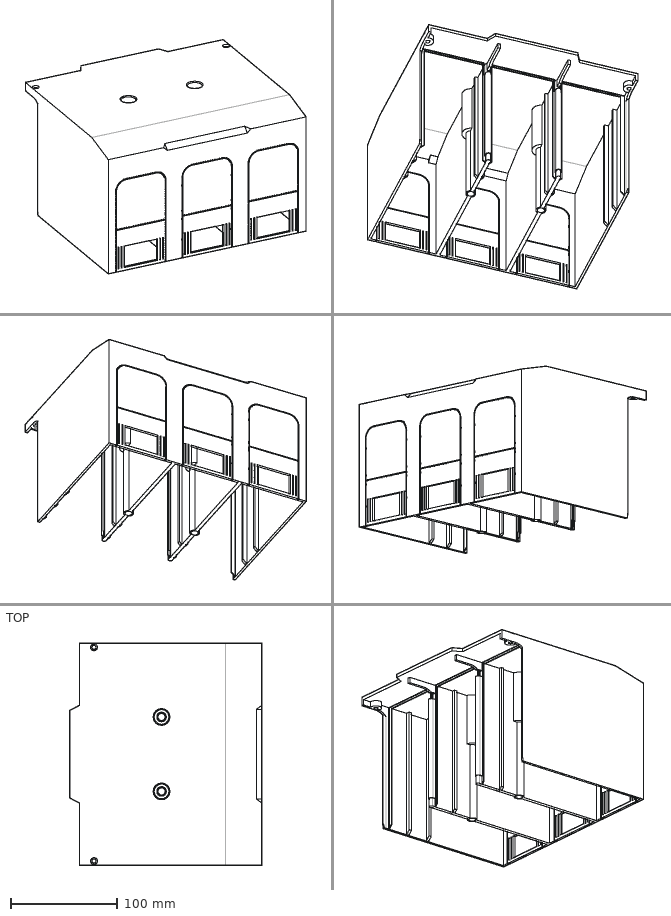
import cadquery as cq

LENGTH = 181.5
WIDTH = 209.5
HEIGHT = 127.9
HALF_WIDTH = WIDTH / 2

ROOF_THICKNESS = 3.4
ROOF_FRONT = 9.2
SLOPE_START = 147.1
SLOPE_DROP = 8.8
TONGUE_ROOT_HALF = 46.1
TONGUE_TIP_HALF = 41.3

WALL_FRONT = 34.4
WALL_THICKNESS = 2.5
WALL_ROUND = 2.0
LIP_DROP = 8.8
LIP_ARC_START = 26.2
LIP_ARC_END_DROP = 11.5
TOE_LENGTH = 0.8
TOE_HEIGHT = 4.8

BACK_THICKNESS = 2.5
BACK_INNER = LENGTH - BACK_THICKNESS
NOTCH_DEPTH = 5.2
NOTCH_FLOOR = 115.5
NOTCH_FLOOR_HALF = 42.3
NOTCH_MOUTH_HALF = 46.1
LEDGE_TOP_DROP = 10.3
LEDGE_BOTTOM_DROP = 15.5
LEDGE_HALF = 44.5

BAY_PITCH = 70.2
BAY_CENTRES = (-BAY_PITCH, 0.0, BAY_PITCH)
DIVIDER_CENTRES = (-BAY_PITCH / 2, BAY_PITCH / 2)
DIVIDER_THICKNESS = 3.8
NOSE_RADIUS = 2.7
NOSE_TIP_RADIUS = 2.0
NOSE_TIP_HEIGHT = 8.2
DIVIDER_FRONT = WALL_FRONT + NOSE_RADIUS
NOSE_TOP = 109.8
WEB_OFFSET = 0.8

FRAME_FRONT = 39.8
FRAME_THICKNESS = 0.8
FRAME_TOP_DROP = 5.7
STRIP_HALF_ON_DIVIDER = 4.6
STRIP_REACH_FROM_WALL = 6.5
FRAME_NOTCH_WIDTH = 6.5

RIB_THICKNESS = 2.7
RIB_X = 62.9

POST_X = 86.8
POST_RADIUS = 4.6
SLEEVE_RADIUS = 8.4
SLEEVE_BOTTOM = 75.0
COUNTERBORE_FLOOR = 77.5
COUNTERBORE_DIAMETER = 13.8
COUNTERBORE_RIM = 15.7
SCREW_HOLE_DIAMETER = 6.7
SCREW_HOLE_RIM = 9.0

CORNER_HOLE_X = 23.0
CORNER_HOLE_Y = 100.8
CORNER_HOLE_DIAMETER = 3.8
CORNER_HOLE_RIM = 6.5
CORNER_BOSS_RADIUS = 5.5

SLOT_WIDTH = 0.8
PANEL_WIDTH = 52.5
PANEL_TOP = 94.7
PANEL_CORNER_RADIUS = 10.5
PANEL_SPLIT = 43.8
BRIDGE_HEIGHT = 0.8
BRIDGE_LEVELS = (18.9, 40.2, 48.8, 75.0)
WINDOW_WIDTH = 35.0
WINDOW_BOTTOM = 3.1
WINDOW_TOP = 25.4
LOUVRE_OFFSETS = (20.3, 23.7)


def block(x0, x1, y0, y1, z0, z1):
    """Axis-aligned box between two opposite corners."""
    return cq.Workplane("XY").box(x1 - x0, y1 - y0, z1 - z0, centered=False).translate((x0, y0, z0))


def post(x, y, radius, z0, z1):
    """Upright cylinder."""
    return cq.Workplane("XY").center(x, y).circle(radius).extrude(z1 - z0).translate((0, 0, z0))


def funnel(x, y, rim, bore, top):
    """45 degree countersink opening upward from the bore to the rim diameter."""
    depth = (rim - bore) / 2
    cone = cq.Solid.makeCone(bore / 2, rim / 2, depth)
    return cq.Workplane(cone).translate((x, y, top - depth))


def along_y(outline, y0, y1):
    """Extrude an outline in the XZ plane from y0 to y1."""
    return outline.extrude(-(y1 - y0)).translate((0, y0, 0))


def envelope(front):
    """Full height solid below the outer roof surface, starting at the given x."""
    outline = (
        cq.Workplane("XZ")
        .moveTo(front, 0)
        .lineTo(LENGTH, 0)
        .lineTo(LENGTH, HEIGHT - SLOPE_DROP)
        .lineTo(SLOPE_START, HEIGHT)
        .lineTo(front, HEIGHT)
        .close()
    )
    return along_y(outline, -HALF_WIDTH, HALF_WIDTH)


def roof():
    """Bent roof sheet with the tapered tongue at its front edge."""
    outer = envelope(ROOF_FRONT)
    sheet = outer.cut(outer.translate((0, 0, -ROOF_THICKNESS)))
    tongue = (
        cq.Workplane("XY")
        .polyline([
            (ROOF_FRONT, -TONGUE_ROOT_HALF),
            (0, -TONGUE_TIP_HALF),
            (0, TONGUE_TIP_HALF),
            (ROOF_FRONT, TONGUE_ROOT_HALF),
        ])
        .close()
        .extrude(ROOF_THICKNESS)
        .translate((0, 0, HEIGHT - ROOF_THICKNESS))
    )
    return sheet.union(tongue)


def side_wall(side):
    """Wall at the +Y (side = 1) or -Y (side = -1) end, rounded along its inner front edge."""
    outline = (
        cq.Workplane("XZ")
        .moveTo(ROOF_FRONT, HEIGHT)
        .lineTo(ROOF_FRONT, HEIGHT - LIP_DROP)
        .lineTo(LIP_ARC_START, HEIGHT - LIP_DROP)
        .tangentArcPoint((WALL_FRONT, HEIGHT - LIP_ARC_END_DROP), relative=False)
        .lineTo(WALL_FRONT, TOE_HEIGHT)
        .lineTo(WALL_FRONT + TOE_LENGTH, 0)
        .lineTo(LENGTH, 0)
        .lineTo(LENGTH, HEIGHT - SLOPE_DROP)
        .lineTo(SLOPE_START, HEIGHT)
        .close()
    )
    inner = HALF_WIDTH - WALL_THICKNESS
    wall = along_y(outline, min(side * inner, side * HALF_WIDTH), max(side * inner, side * HALF_WIDTH))
    front_edge = cq.selectors.NearestToPointSelector((WALL_FRONT, side * inner, HEIGHT / 2))
    return wall.edges(front_edge).fillet(WALL_ROUND)


def divider_web(y):
    """Shallow web under the roof overhang, in front of a divider."""
    outline = (
        cq.Workplane("XZ")
        .moveTo(ROOF_FRONT, HEIGHT - ROOF_THICKNESS / 2)
        .lineTo(ROOF_FRONT, HEIGHT - LIP_DROP)
        .lineTo(LIP_ARC_START, HEIGHT - LIP_DROP)
        .tangentArcPoint((WALL_FRONT, HEIGHT - LIP_ARC_END_DROP), relative=False)
        .lineTo(FRAME_FRONT + FRAME_THICKNESS, HEIGHT - LIP_ARC_END_DROP)
        .lineTo(FRAME_FRONT + FRAME_THICKNESS, HEIGHT - ROOF_THICKNESS / 2)
        .close()
    )
    centre = y - WEB_OFFSET
    return along_y(outline, centre - WALL_THICKNESS / 2, centre + WALL_THICKNESS / 2)


def nose_section(y, radius, z0, z1):
    """Stretch of the nose: a round front with flat flanks running back to the frame."""
    flanks = block(DIVIDER_FRONT, FRAME_FRONT + FRAME_THICKNESS, y - radius, y + radius, z0, z1)
    return flanks.union(post(DIVIDER_FRONT, y, radius, z0, z1))


def divider(y):
    """Upright plate with a rounded nose along its front edge."""
    half = DIVIDER_THICKNESS / 2
    plate = block(FRAME_FRONT + half, LENGTH, y - half, y + half, 0, HEIGHT)
    rounded_edge = post(FRAME_FRONT + half, y, half, 0, HEIGHT)
    nose = nose_section(y, NOSE_RADIUS, NOSE_TIP_HEIGHT, NOSE_TOP)
    tip = nose_section(y, NOSE_TIP_RADIUS, 0, NOSE_TIP_HEIGHT)
    return plate.union(rounded_edge).union(nose).union(tip).union(divider_web(y))


def upright_strip(x0, x1, root, tip):
    """Upright strip from root to tip in y whose foot rises at 45 degrees toward the tip."""
    return (
        cq.Workplane("YZ")
        .polyline([(root, 0), (tip, abs(tip - root)), (tip, HEIGHT), (root, HEIGHT)])
        .close()
        .extrude(x1 - x0)
        .translate((x0, 0, 0))
    )


def upright_strips(x0, x1, divider_centres):
    """Strips that stand proud of both side walls and of both faces of the given dividers."""
    faces = []
    for y in divider_centres:
        for side in (-1, 1):
            faces.append((y + side * DIVIDER_THICKNESS / 2, y + side * STRIP_HALF_ON_DIVIDER))
    for side in (-1, 1):
        faces.append((side * (HALF_WIDTH - WALL_THICKNESS), side * (HALF_WIDTH - STRIP_REACH_FROM_WALL)))
    solid = cq.Workplane("XY")
    for root, tip in faces:
        solid = solid.union(upright_strip(x0, x1, root, tip))
    return solid


def frame():
    """Thin portal around the mouths of the three bays, notched above each nose."""
    rear = FRAME_FRONT + FRAME_THICKNESS
    portal = upright_strips(FRAME_FRONT, rear, DIVIDER_CENTRES)
    portal = portal.union(
        block(FRAME_FRONT, rear, -HALF_WIDTH, HALF_WIDTH, HEIGHT - FRAME_TOP_DROP, HEIGHT)
    )
    half = FRAME_NOTCH_WIDTH / 2
    for y in DIVIDER_CENTRES:
        portal = portal.cut(block(FRAME_FRONT, rear, y - half, y + half, NOSE_TOP, HEIGHT - ROOF_THICKNESS))
    return portal


def ribs():
    """Upright ribs: one pair per divider and two on each side wall."""
    half = RIB_THICKNESS / 2
    front_ribs = upright_strips(RIB_X - half, RIB_X + half, DIVIDER_CENTRES)
    return front_ribs.union(upright_strips(POST_X - half, POST_X + half, ()))


def notch_ledge():
    """45 degree wedge that keeps the roof closed under the rear bevel."""
    front = BACK_INNER - (LEDGE_BOTTOM_DROP - LEDGE_TOP_DROP)
    outline = (
        cq.Workplane("XZ")
        .moveTo(front, HEIGHT)
        .lineTo(front, HEIGHT - LEDGE_TOP_DROP)
        .lineTo(BACK_INNER, HEIGHT - LEDGE_BOTTOM_DROP)
        .lineTo(BACK_INNER, HEIGHT)
        .close()
    )
    return along_y(outline, -LEDGE_HALF, LEDGE_HALF)


def rear_notch():
    """Local bevel of the rear roof edge with flared ends, running up and forward to the roof surface."""
    edge_height = HEIGHT - SLOPE_DROP
    rise_to_edge = edge_height - NOTCH_FLOOR
    rise_to_front = rise_to_edge + NOTCH_DEPTH * SLOPE_DROP / (LENGTH - SLOPE_START)
    flare = NOTCH_MOUTH_HALF - NOTCH_FLOOR_HALF
    top_half = NOTCH_MOUTH_HALF + flare
    top = edge_height + rise_to_edge
    corners = [
        cq.Vector(LENGTH, -NOTCH_FLOOR_HALF, NOTCH_FLOOR),
        cq.Vector(LENGTH, NOTCH_FLOOR_HALF, NOTCH_FLOOR),
        cq.Vector(LENGTH, top_half, top),
        cq.Vector(LENGTH, -top_half, top),
    ]
    section = cq.Wire.makePolygon(corners, close=True)
    forward = cq.Vector(-NOTCH_DEPTH, 0, rise_to_front)
    return cq.Workplane(cq.Solid.extrudeLinear(section, [], forward))


def screw_post_bore(y):
    """Through hole with a deep chamfered counterbore."""
    bore = post(POST_X, y, SCREW_HOLE_DIAMETER / 2, 0, HEIGHT)
    counterbore = post(POST_X, y, COUNTERBORE_DIAMETER / 2, COUNTERBORE_FLOOR, HEIGHT)
    seat = funnel(POST_X, y, SCREW_HOLE_RIM, SCREW_HOLE_DIAMETER, COUNTERBORE_FLOOR)
    rim = funnel(POST_X, y, COUNTERBORE_RIM, COUNTERBORE_DIAMETER, HEIGHT)
    return bore.union(counterbore).union(seat).union(rim)


def corner_hole(y):
    """Small countersunk through hole."""
    bore = post(CORNER_HOLE_X, y, CORNER_HOLE_DIAMETER / 2, 0, HEIGHT)
    return bore.union(funnel(CORNER_HOLE_X, y, CORNER_HOLE_RIM, CORNER_HOLE_DIAMETER, HEIGHT))


def rounded_panel(y, half_width, top, radius):
    """Arch-topped slab through the rear wall, standing on the base."""
    slab = block(BACK_INNER, LENGTH, y - half_width, y + half_width, 0, top)
    return slab.edges("|X and >Z").fillet(radius)


def rear_openings(y):
    """Window, louvres and bridged knock-out slots of one bay."""
    half_slot = SLOT_WIDTH / 2
    half_panel = PANEL_WIDTH / 2
    outer = rounded_panel(y, half_panel + half_slot, PANEL_TOP + half_slot, PANEL_CORNER_RADIUS + half_slot)
    inner = rounded_panel(y, half_panel - half_slot, PANEL_TOP - half_slot, PANEL_CORNER_RADIUS - half_slot)
    openings = outer.cut(inner)
    split_bottom = PANEL_SPLIT - half_slot
    split_top = PANEL_SPLIT + half_slot
    openings = openings.union(
        block(BACK_INNER, LENGTH, y - half_panel, y + half_panel, split_bottom, split_top)
    )
    for level in BRIDGE_LEVELS:
        z0 = level - BRIDGE_HEIGHT / 2
        openings = openings.cut(
            block(BACK_INNER, LENGTH, y - PANEL_WIDTH, y + PANEL_WIDTH, z0, z0 + BRIDGE_HEIGHT)
        )
    half_window = WINDOW_WIDTH / 2
    openings = openings.union(
        block(BACK_INNER, LENGTH, y - half_window, y + half_window, WINDOW_BOTTOM, WINDOW_TOP)
    )
    for offset in LOUVRE_OFFSETS:
        for centre in (y - offset, y + offset):
            openings = openings.union(
                block(BACK_INNER, LENGTH, centre - half_slot, centre + half_slot, WINDOW_BOTTOM, WINDOW_TOP)
            )
    return openings


interior = block(BACK_INNER, LENGTH, -HALF_WIDTH, HALF_WIDTH, 0, HEIGHT)
interior = interior.union(frame()).union(ribs()).union(notch_ledge())
for y_divider in DIVIDER_CENTRES:
    interior = interior.union(divider(y_divider))
    interior = interior.union(post(POST_X, y_divider, POST_RADIUS, 0, HEIGHT))
    interior = interior.union(post(POST_X, y_divider, SLEEVE_RADIUS, SLEEVE_BOTTOM, HEIGHT))
for y_hole in (-CORNER_HOLE_Y, CORNER_HOLE_Y):
    boss = post(CORNER_HOLE_X, y_hole, CORNER_BOSS_RADIUS, HEIGHT - LIP_DROP, HEIGHT)
    interior = interior.union(boss)
interior = interior.intersect(envelope(ROOF_FRONT))

result = roof().union(interior)
result = result.union(side_wall(-1)).union(side_wall(1))

result = result.cut(rear_notch())
for y_divider in DIVIDER_CENTRES:
    result = result.cut(screw_post_bore(y_divider))
for y_hole in (-CORNER_HOLE_Y, CORNER_HOLE_Y):
    result = result.cut(corner_hole(y_hole))
for y_bay in BAY_CENTRES:
    result = result.cut(rear_openings(y_bay))